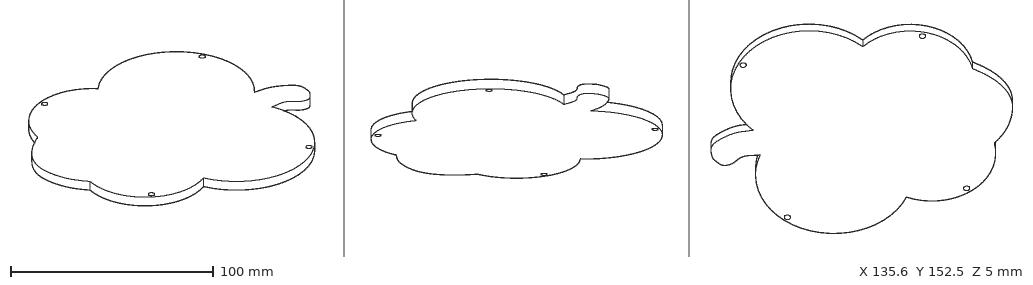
import cadquery as cq
import math

thickness = 5.0
total_height = 152.5

plate_width = 135.6
upper_radius = 38.7
upper_x = plate_width / 2 - upper_radius
upper_y = 96.2
lower_radius = 31.5
lower_x = 25.3
lower_y = 45.9

tip_half_width = 25.3
tip_top_y = lower_y - lower_radius
tip_flank = (16.6, 6.0)
tip_end_slope = 1.15

stem_half_width = 8.4
stem_root_y = upper_y + math.sqrt(upper_radius**2 - (upper_x - stem_half_width) ** 2)
stem_top = (4.0, total_height)
stem_nose = (11.6, 146.7)
stem_left_points = [(-8.7, 135.7), (-5.0, 148.0)]
stem_crown_right = (8.8, 150.7)
stem_right_points = [(8.2, 139.1), (7.6, 134.2)]

hole_diameter = 3.0
hole_x = 51.5
hole_upper_y = 124.6
hole_lower_y = 34.0


def lobe_pair(x, y, radius):
    left = cq.Workplane("XY").center(-x, y).circle(radius).extrude(thickness)
    right = cq.Workplane("XY").center(x, y).circle(radius).extrude(thickness)
    return left.union(right)


def core():
    """Fill the middle, between the lobe centres and under the stem."""
    return (
        cq.Workplane("XY")
        .moveTo(-lower_x, tip_top_y)
        .lineTo(lower_x, tip_top_y)
        .lineTo(upper_x, upper_y)
        .lineTo(stem_half_width, stem_root_y)
        .lineTo(-stem_half_width, stem_root_y)
        .lineTo(-upper_x, upper_y)
        .close()
        .extrude(thickness)
    )


def lower_tip():
    flank_x, flank_y = tip_flank
    return (
        cq.Workplane("XY")
        .moveTo(-tip_half_width, tip_top_y)
        .spline(
            [(-flank_x, flank_y), (0, 0), (flank_x, flank_y), (tip_half_width, tip_top_y)],
            tangents=[(1, -tip_end_slope), (1, tip_end_slope)],
            includeCurrent=True,
        )
        .close()
        .extrude(thickness)
    )


def stem():
    return (
        cq.Workplane("XY")
        .moveTo(-stem_half_width, stem_root_y)
        .spline(stem_left_points + [stem_top], tangents=[(0, 1), (1, 0)], includeCurrent=True)
        .spline([stem_crown_right, stem_nose], tangents=[(1, 0), (0, -1)], includeCurrent=True)
        .spline(
            stem_right_points + [(stem_half_width, stem_root_y)],
            tangents=[(0, -1), (0, -1)],
            includeCurrent=True,
        )
        .close()
        .extrude(thickness)
    )


def mounting_holes():
    centres = [(side * hole_x, y) for side in (-1, 1) for y in (hole_lower_y, hole_upper_y)]
    return cq.Workplane("XY").pushPoints(centres).circle(hole_diameter / 2).extrude(thickness)


plate = (
    core()
    .union(lobe_pair(upper_x, upper_y, upper_radius))
    .union(lobe_pair(lower_x, lower_y, lower_radius))
    .union(lower_tip())
    .union(stem())
)
result = plate.cut(mounting_holes())